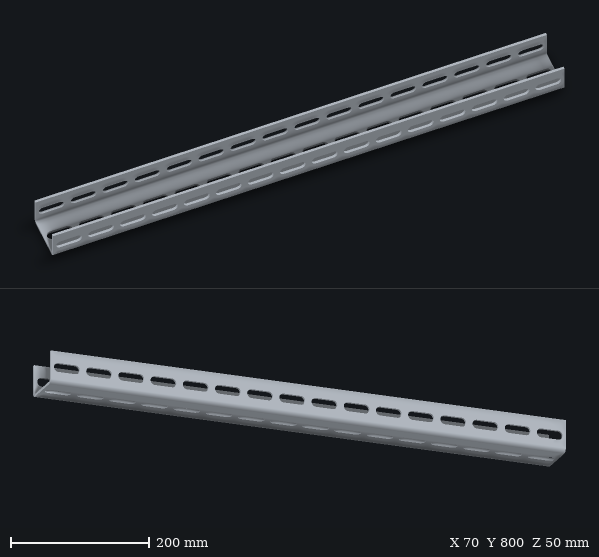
import cadquery as cq

length = 800.0
width = 70.0
height = 50.0

thickness = 4.0
outer_bend_radius = 7.0
inner_bend_radius = outer_bend_radius - thickness

slot_count = 16
slot_pitch = length / slot_count
slot_length = 40.0
slot_width = 14.0
slot_height = height / 2


def bent_block(block_width, floor, bend_radius):
    """Full-length block from the floor up to the flange tips, rounded along its two lower edges."""
    block_height = height - floor
    return (
        cq.Workplane("XY")
        .box(block_width, length, block_height, centered=(True, True, False))
        .edges("|Y and <Z")
        .fillet(bend_radius)
        .translate((0, 0, floor))
    )


def slot_row():
    """Cutters for one row of slots lying along Y, passing through the part in the X direction."""
    return (
        cq.Workplane("YZ")
        .rarray(slot_pitch, 8, slot_count, 1)
        .slot2D(slot_length, slot_width)
        .extrude(width, both=True)
    )


channel = bent_block(width, 0, outer_bend_radius).cut(
    bent_block(width - 2 * thickness, thickness, inner_bend_radius)
)

flange_slots = slot_row().translate((0, 0, slot_height))
web_slots = slot_row().rotate((0, 0, 0), (0, 1, 0), 90)

result = channel.cut(flange_slots).cut(web_slots)